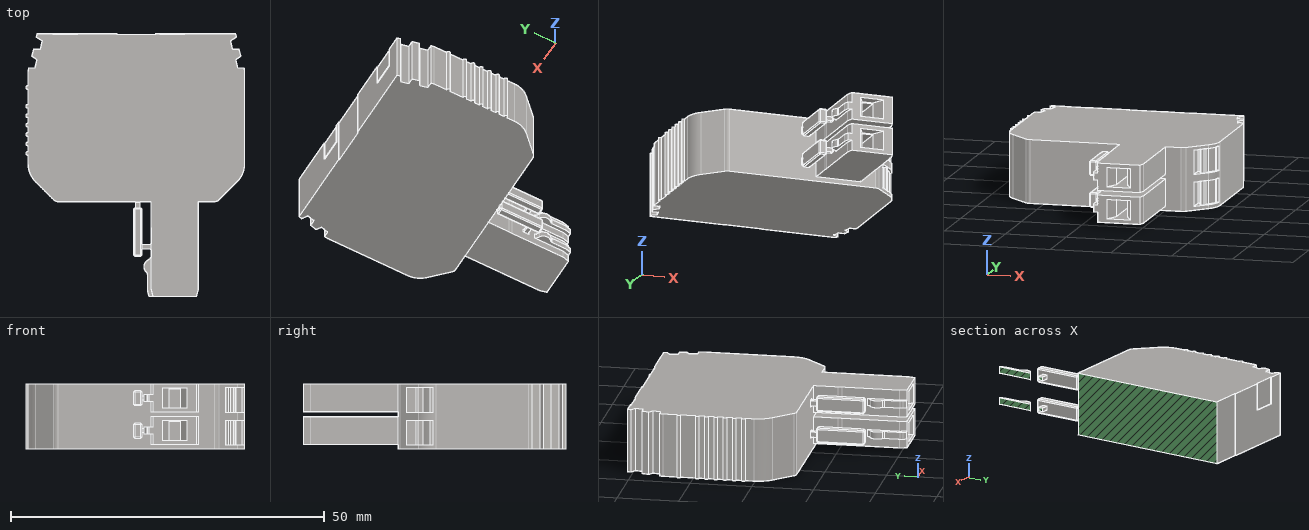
import math

import cadquery as cq


HOUSING_WIDTH = 34.55
HOUSING_LENGTH = 26.8
HEIGHT = 10.4
HALF_WIDTH = HOUSING_WIDTH / 2
CORNER_CHAMFER = 4.4
CORNER_RADIUS = 4.0
SHOULDER_RADIUS = 1.0

TOOTH_POINTS = [
    (0.0, 6.0),
    (0.1, 5.45),
    (1.1, 5.45),
    (1.4, 4.15),
    (0.6, 3.6),
    (0.9, 2.45),
    (1.95, 2.45),
    (2.25, 1.15),
    (1.3, 0.57),
    (1.45, 0.0),
]

REAR_RECESS_DEPTH = 0.12
REAR_RECESS_WIDTH = 6.1
REAR_NOTCH_WIDTH = 3.9
REAR_NOTCH_HEIGHT = 4.45
REAR_NOTCH_CENTERS = (-11.3, 5.75)

RIB_WIDTH = 0.6
RIB_HEIGHT = 0.35
RIB_PITCH = 1.5
FIRST_RIB_Y = 7.72
RIB_STEPS = (0, 1, 2, 3, 4, 5, 7)

POLE_COUNT = 2
POLE_PITCH = HEIGHT / POLE_COUNT
PLUG_HEIGHT = 4.45
POLE_BASE_Z = POLE_PITCH - PLUG_HEIGHT
POLE_CENTER_Z = POLE_BASE_Z + PLUG_HEIGHT / 2

PLUG_LEFT = 2.36
PLUG_WIDTH = 7.54
PLUG_RIGHT = PLUG_LEFT + PLUG_WIDTH
PLUG_LENGTH = 15.1
PLUG_ROOT_OVERLAP = 1.0
TIP_INSET = 0.3
TIP_TAPER_LENGTH = 1.15
ROOT_STEP = 0.03
ROOT_STEP_START_Y = -4.0
ROOT_STEP_END_Y = -4.6

SOCKET_CENTER_X = 6.12
MOUTH_WIDTH = 3.9
MOUTH_HEIGHT = 3.15
MOUTH_DEPTH = 2.1
HOLE_WIDTH = 1.85
HOLE_HEIGHT = 3.0
SOCKET_DEPTH = 10.0

LATCH_THICKNESS = 1.15
LATCH_REACH = 0.6
LATCH_START_Y = -8.75
LATCH_FOOT_MID = (2.16, -9.05)
LATCH_FOOT_END = (1.8, -9.3)
LATCH_PEAK = (1.2, -10.3)
LATCH_ARC_END = (1.66, -11.3)
LATCH_ARM_START_Y = -11.6
LATCH_TAPER_START_Y = -14.1
LATCH_TAPER_BEND_Y = -14.55
LATCH_BEND_INSET = 0.1
LATCH_TIP_INSET = 0.25

LEVER_CENTER_X = 0.23
LEVER_WIDTH = 1.3
LEVER_HEIGHT = 2.4
LEVER_START_Y = -0.95
LEVER_END_Y = -8.7
LEVER_DROP = 0.03
LEVER_BEVEL = 0.2
NECK_WIDTH = 0.75
NECK_HEIGHT = 0.86
ARM_CENTER_Y = -7.15
ARM_WIDTH = 0.75
ARM_HEIGHT = 0.65
ROOT_FLARE = 0.15
JOINT_OVERLAP = 0.3

WINDOW_HEIGHT = 3.95
WINDOW_BASE_Z = 0.65
WINDOW_LEFT = 14.2
WINDOW_FLOOR_Y = 4.0
CATCH_LEFT = 14.4
CATCH_TOP_Y = 2.9
CATCH_SHOULDER_Y = 3.2
CATCH_TOP_LEFT = 15.0
CATCH_TOP_RIGHT = 15.45
CATCH_BEVEL = 0.28
CATCH_RIGHT = 15.9
WINDOW_CURVE_MID = (16.35, 4.5)
WINDOW_CURVE_END = (16.8, 5.1)
WINDOW_REAR_Y = 5.6


def centered_box(x_range, y_range, z_center, height):
    """Box spanning the given X and Y ranges, centred on z_center."""
    width = x_range[1] - x_range[0]
    length = y_range[1] - y_range[0]
    center = (sum(x_range) / 2, sum(y_range) / 2, z_center)
    return cq.Workplane("XY").box(width, length, height).translate(center)


def make_housing():
    """Plate with toothed rear corners and rounded front chamfers."""
    right_teeth = [(HALF_WIDTH - inset, HOUSING_LENGTH - drop) for inset, drop in TOOTH_POINTS]
    left_teeth = [(-x, y) for x, y in reversed(right_teeth)]
    shoulder_x = HALF_WIDTH - CORNER_CHAMFER
    outline = [(shoulder_x, 0), (HALF_WIDTH, CORNER_CHAMFER)]
    outline += right_teeth + left_teeth
    outline += [(-HALF_WIDTH, CORNER_CHAMFER), (-shoulder_x, 0)]
    housing = cq.Workplane("XY").polyline(outline).close().extrude(HEIGHT)
    for x, y, radius in (
        (HALF_WIDTH, CORNER_CHAMFER, CORNER_RADIUS),
        (shoulder_x, 0, SHOULDER_RADIUS),
    ):
        for side in (-1, 1):
            corner = cq.selectors.NearestToPointSelector((side * x, y, HEIGHT / 2))
            housing = housing.edges(corner).fillet(radius)
    return housing


def cut_rear_recesses(housing):
    """Shallow full-height recess in the middle of the rear face and two notches open at the top."""
    rear_range = (HOUSING_LENGTH - REAR_RECESS_DEPTH, HOUSING_LENGTH + REAR_RECESS_DEPTH)
    half_recess = REAR_RECESS_WIDTH / 2
    housing = housing.cut(centered_box((-half_recess, half_recess), rear_range, HEIGHT / 2, HEIGHT))
    for center_x in REAR_NOTCH_CENTERS:
        x_range = (center_x - REAR_NOTCH_WIDTH / 2, center_x + REAR_NOTCH_WIDTH / 2)
        notch_z = HEIGHT - REAR_NOTCH_HEIGHT / 2
        housing = housing.cut(centered_box(x_range, rear_range, notch_z, REAR_NOTCH_HEIGHT))
    return housing


def make_rib(center_y):
    """Rounded grip rib running the full height of the -X side."""
    root_x = -HALF_WIDTH + JOINT_OVERLAP
    return (
        cq.Workplane("XY")
        .moveTo(root_x, center_y - RIB_WIDTH / 2)
        .lineTo(-HALF_WIDTH, center_y - RIB_WIDTH / 2)
        .threePointArc((-HALF_WIDTH - RIB_HEIGHT, center_y), (-HALF_WIDTH, center_y + RIB_WIDTH / 2))
        .lineTo(root_x, center_y + RIB_WIDTH / 2)
        .close()
        .extrude(HEIGHT)
    )


def make_plug():
    """Plug block with a tapered tip and a slightly proud root on its -X side."""
    taper_y = TIP_TAPER_LENGTH - PLUG_LENGTH
    outline = [
        (PLUG_LEFT - ROOT_STEP, PLUG_ROOT_OVERLAP),
        (PLUG_LEFT - ROOT_STEP, ROOT_STEP_START_Y),
        (PLUG_LEFT, ROOT_STEP_END_Y),
        (PLUG_LEFT, taper_y),
        (PLUG_LEFT + TIP_INSET, -PLUG_LENGTH),
        (PLUG_RIGHT - TIP_INSET, -PLUG_LENGTH),
        (PLUG_RIGHT, taper_y),
        (PLUG_RIGHT, PLUG_ROOT_OVERLAP),
    ]
    return cq.Workplane("XY", origin=(0, 0, POLE_BASE_Z)).polyline(outline).close().extrude(PLUG_HEIGHT)


def make_socket():
    """Void of the socket: a mouth narrowing in X, then a straight hole on the same floor."""
    tip_y = -PLUG_LENGTH
    half_mouth = MOUTH_WIDTH / 2
    half_hole = HOLE_WIDTH / 2
    mouth = (
        cq.Workplane("XY", origin=(SOCKET_CENTER_X, tip_y, POLE_CENTER_Z - MOUTH_HEIGHT / 2))
        .polyline([
            (-half_mouth, 0),
            (half_mouth, 0),
            (half_hole, MOUTH_DEPTH),
            (-half_hole, MOUTH_DEPTH),
        ])
        .close()
        .extrude(MOUTH_HEIGHT)
    )
    x_range = (SOCKET_CENTER_X - half_hole, SOCKET_CENTER_X + half_hole)
    hole_z = POLE_CENTER_Z - (MOUTH_HEIGHT - HOLE_HEIGHT) / 2
    hole = centered_box(x_range, (tip_y, tip_y + SOCKET_DEPTH), hole_z, HOLE_HEIGHT)
    return mouth.union(hole)


def make_latch():
    """Thin latch with a rounded nose on a hollow foot, ending flush with the plug tip."""
    outer_x = PLUG_LEFT - LATCH_REACH
    root_x = PLUG_LEFT + TIP_INSET
    return (
        cq.Workplane("XY", origin=(0, 0, POLE_CENTER_Z - LATCH_THICKNESS / 2))
        .moveTo(root_x, LATCH_START_Y)
        .lineTo(PLUG_LEFT, LATCH_START_Y)
        .threePointArc(LATCH_FOOT_MID, LATCH_FOOT_END)
        .threePointArc(LATCH_PEAK, LATCH_ARC_END)
        .lineTo(outer_x, LATCH_ARM_START_Y)
        .lineTo(outer_x, LATCH_TAPER_START_Y)
        .lineTo(outer_x + LATCH_BEND_INSET, LATCH_TAPER_BEND_Y)
        .lineTo(outer_x + LATCH_TIP_INSET, -PLUG_LENGTH)
        .lineTo(root_x, -PLUG_LENGTH)
        .close()
        .extrude(LATCH_THICKNESS)
    )


def flared_strut(workplane, length, width, thickness):
    """Strut along local +X from the origin, flaring in width where it meets the wall at its far end."""
    half = width / 2
    flare = half + ROOT_FLARE
    outline = [
        (-JOINT_OVERLAP, -half),
        (length - ROOT_FLARE, -half),
        (length, -flare),
        (length + JOINT_OVERLAP, -flare),
        (length + JOINT_OVERLAP, flare),
        (length, flare),
        (length - ROOT_FLARE, half),
        (-JOINT_OVERLAP, half),
    ]
    return workplane.polyline(outline).close().extrude(thickness / 2, both=True)


def make_lever():
    """Bevelled bar held by a neck on the shoulder and a side arm on the plug."""
    half_width = LEVER_WIDTH / 2
    x_range = (LEVER_CENTER_X - half_width, LEVER_CENTER_X + half_width)
    bar = centered_box(x_range, (LEVER_END_Y, LEVER_START_Y), POLE_CENTER_Z - LEVER_DROP, LEVER_HEIGHT)
    bar = bar.edges().chamfer(LEVER_BEVEL)
    neck_plane = cq.Workplane("YZ", origin=(LEVER_CENTER_X, LEVER_START_Y, POLE_CENTER_Z))
    neck = flared_strut(neck_plane, -LEVER_START_Y, NECK_HEIGHT, NECK_WIDTH)
    arm_plane = cq.Workplane("XY", origin=(x_range[1], ARM_CENTER_Y, POLE_CENTER_Z))
    arm = flared_strut(arm_plane, PLUG_LEFT - x_range[1], ARM_WIDTH, ARM_HEIGHT)
    return bar.union(neck).union(arm)


def make_window():
    """Void of a front corner window, leaving a bevelled catch and a curved rear wall."""
    outside_x = HALF_WIDTH + CORNER_CHAMFER
    foot_radius = CATCH_TOP_LEFT - CATCH_BEVEL - CATCH_LEFT
    foot_mid = (
        CATCH_LEFT + foot_radius * math.sin(math.pi / 4),
        WINDOW_FLOOR_Y - foot_radius * (1 - math.cos(math.pi / 4)),
    )
    return (
        cq.Workplane("XY", origin=(0, 0, WINDOW_BASE_Z))
        .moveTo(WINDOW_LEFT, 0)
        .lineTo(WINDOW_LEFT, WINDOW_FLOOR_Y)
        .lineTo(CATCH_LEFT, WINDOW_FLOOR_Y)
        .threePointArc(foot_mid, (CATCH_LEFT + foot_radius, WINDOW_FLOOR_Y - foot_radius))
        .lineTo(CATCH_TOP_LEFT - CATCH_BEVEL, CATCH_SHOULDER_Y)
        .lineTo(CATCH_TOP_LEFT, CATCH_TOP_Y)
        .lineTo(CATCH_TOP_RIGHT, CATCH_TOP_Y)
        .lineTo(CATCH_TOP_RIGHT + CATCH_BEVEL, CATCH_SHOULDER_Y)
        .lineTo(CATCH_RIGHT, WINDOW_FLOOR_Y)
        .threePointArc(WINDOW_CURVE_MID, WINDOW_CURVE_END)
        .lineTo(WINDOW_CURVE_END[0], WINDOW_REAR_Y)
        .lineTo(outside_x, WINDOW_REAR_Y)
        .lineTo(outside_x, 0)
        .close()
        .extrude(WINDOW_HEIGHT)
    )


result = cut_rear_recesses(make_housing())
for step in RIB_STEPS:
    result = result.union(make_rib(FIRST_RIB_Y + step * RIB_PITCH))

pole = make_plug().cut(make_socket()).union(make_latch()).union(make_lever())
window = make_window()
for index in range(POLE_COUNT):
    offset = (0, 0, index * POLE_PITCH)
    result = result.union(pole.translate(offset)).cut(window.translate(offset))